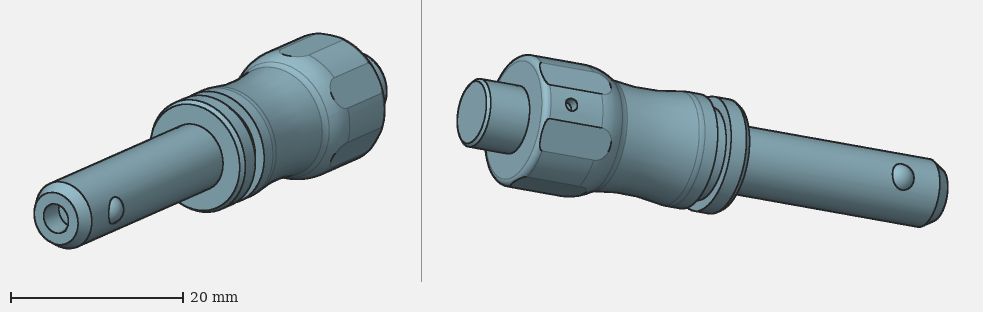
import cadquery as cq
import math


shank_dia = 8.0
shank_length = 27.7
tip_chamfer_length = 1.5
tip_chamfer_angle = 30
tip_bore_dia = 3.5
tip_bore_depth = 3.05

ball_dia = 3.45
ball_reach = 4.75
ball_setback = 6.3

collar_dia = 13.5
groove_dia = 11.0
groove_front = 2.6
groove_width = 1.75
collar_length = 6.1
collar_chamfer_length = 0.6
collar_chamfer_height = 0.35

neck_front = 6.8
neck_rear = 16.2
neck_middle = 11.8
neck_min_dia = 12.4
neck_arc_radius = 25.55

knob_dia = 15.5
knob_rear = 27.6
knob_cylinder_front = 20.0
knob_front_radius = 5.95
knob_front_sweep = 30
knob_rear_fillet = 0.8
knob_across_flats = 15.0
flat_count = 6

cross_hole_dia = 1.5
cross_hole_depth = 1.5
cross_hole_setback = 3.5

button_rear = 33.1
button_chamfer = 0.35


def neck_radius(y):
    """Radius of the concave neck at position y."""
    offset = y - neck_middle
    return neck_min_dia / 2 + neck_arc_radius - math.sqrt(neck_arc_radius**2 - offset**2)


def knob_front_point(angle):
    """Point (radius, y) on the rounded knob front, angle in degrees from the cylinder."""
    turn = math.radians(angle)
    radius = knob_dia / 2 - knob_front_radius * (1 - math.cos(turn))
    return radius, knob_cylinder_front - knob_front_radius * math.sin(turn)


def make_handle():
    """Collar, neck and round knob, turned as one half-profile about Y.

    Short tangent arcs blend the neck into the knob and into the collar.
    """
    collar_radius = collar_dia / 2
    groove_radius = groove_dia / 2
    groove_rear = groove_front + groove_width
    profile = (
        cq.Workplane("XY")
        .moveTo(0, knob_rear)
        .lineTo(knob_dia / 2, knob_rear)
        .lineTo(knob_dia / 2, knob_cylinder_front)
        .threePointArc(knob_front_point(knob_front_sweep / 2), knob_front_point(knob_front_sweep))
        .tangentArcPoint((neck_radius(neck_rear), neck_rear), relative=False)
        .threePointArc(
            (neck_min_dia / 2, neck_middle),
            (neck_radius(neck_front), neck_front),
        )
        .tangentArcPoint((collar_radius, collar_length), relative=False)
        .lineTo(collar_radius, groove_rear)
        .lineTo(groove_radius, groove_rear)
        .lineTo(groove_radius, groove_front)
        .lineTo(collar_radius, groove_front)
        .lineTo(collar_radius, collar_chamfer_length)
        .lineTo(collar_radius - collar_chamfer_height, 0)
        .lineTo(0, 0)
        .close()
    )
    handle = profile.revolve(360, (0, 0, 0), (0, 1, 0))
    return handle.faces(">Y").edges().fillet(knob_rear_fillet)


def cut_flats(handle):
    """Trim the knob to equally spaced flats, one of them facing +Z."""
    hexagon = (
        cq.Workplane("XZ")
        .polygon(flat_count, knob_across_flats, circumscribed=True)
        .extrude(-knob_rear)
        .rotate((0, 0, 0), (0, 1, 0), 180 / flat_count)
    )
    return handle.intersect(hexagon)


def make_shank():
    """Shank with a tapered tip and a blind bore in its end."""
    chamfer_height = tip_chamfer_length * math.tan(math.radians(tip_chamfer_angle))
    shank = cq.Workplane("XZ").circle(shank_dia / 2).extrude(shank_length)
    shank = shank.faces("<Y").chamfer(tip_chamfer_length, chamfer_height)
    return shank.faces("<Y").workplane().hole(tip_bore_dia, tip_bore_depth)


def make_ball(side):
    """Locking ball on the +X (side = 1) or -X (side = -1) flank of the shank."""
    centre_x = side * (ball_reach - ball_dia / 2)
    centre_y = ball_setback - shank_length
    return cq.Workplane("XY").sphere(ball_dia / 2).translate((centre_x, centre_y, 0))


def make_button():
    """Release button, chamfered at its rear end."""
    button = cq.Workplane("XZ", origin=(0, knob_rear, 0)).circle(shank_dia / 2)
    button = button.extrude(knob_rear - button_rear)
    return button.faces(">Y").chamfer(button_chamfer)


def make_cross_hole():
    """Cutter for the blind hole in the -X side of the knob."""
    start_x = -knob_dia / 2
    hole = cq.Workplane("YZ", origin=(start_x, knob_rear - cross_hole_setback, 0))
    return hole.circle(cross_hole_dia / 2).extrude(cross_hole_depth)


result = cut_flats(make_handle()).cut(make_cross_hole())
result = result.union(make_shank()).union(make_button())
for side in (-1, 1):
    result = result.union(make_ball(side))